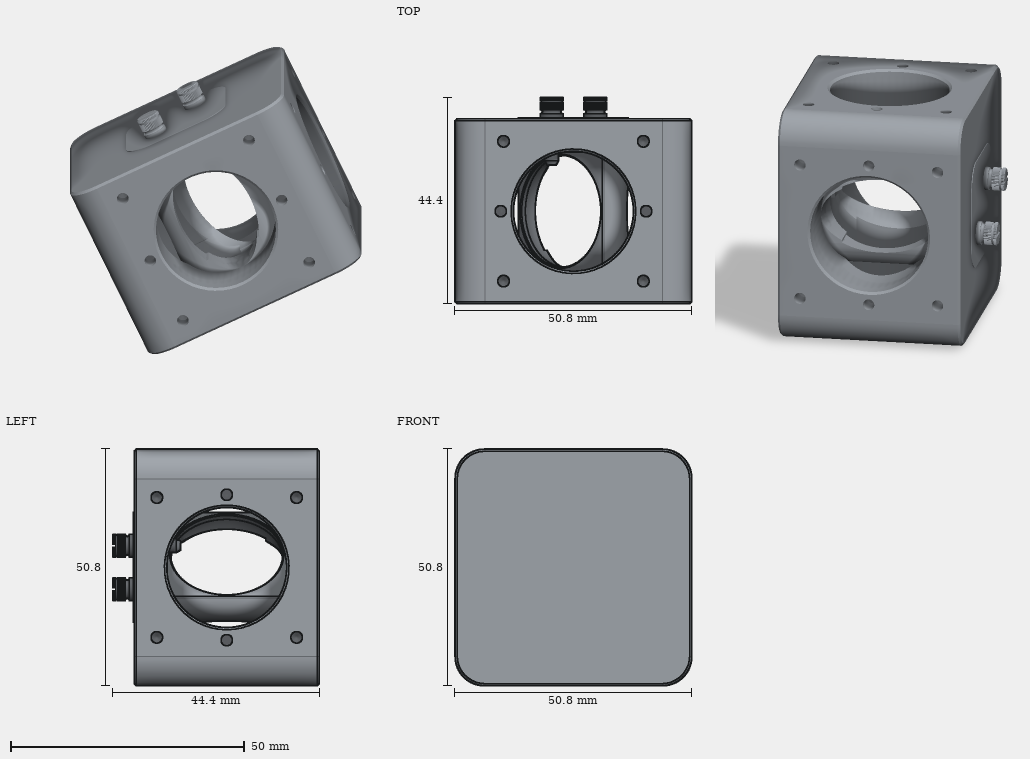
import cadquery as cq
import math

BLOCK_SIDE = 50.8
BLOCK_DEPTH = 39.75
BLOCK_CORNER_RADIUS = 6.35
EDGE_CHAMFER = 0.5
FACE_DISTANCE = BLOCK_SIDE / 2
BACK_Y = BLOCK_DEPTH / 2

BORE_DIAMETER = 25.7
BORE_CHAMFER = 0.5

CORNER_HOLE_DIAMETER = 2.5
CORNER_HOLE_OFFSET = 15.0
MIDDLE_HOLE_DIAMETER = 2.45
MIDDLE_HOLE_OFFSET = 15.6
BLIND_HOLE_DEPTH = 5.1
DRILL_POINT_ANGLE = 118

INSERT_SIDE = 23.55
INSERT_CORNER_RADIUS = 5.35
INSERT_FRONT_Y = -15.25
BASE_FRONT_Y = 12.7
INSERT_PROUD = 0.15
INSERT_BACK_Y = BACK_Y + INSERT_PROUD
SLANT_DISTANCE = 3.95
TILT = 45

APERTURE_DIAMETER = 24.0
APERTURE_CHAMFER = 0.25
LIP_DEPTH = 1.35
SEAT_DIAMETER = 24.8
RING_FRONT = SLANT_DISTANCE - LIP_DEPTH
RING_BACK = -1.25

OPENING_HALF_HEIGHT = BORE_DIAMETER / 2
OPENING_HALF_WIDTH = 8.2
NARROW_HALF_WIDTH = 7.5
NARROW_START_Y = -8.35

SCREW_OFFSET = 4.65
SCREW_TIP_Y = 9.9
SCREW_END_Y = 24.5
SHANK_DIAMETER = 3.0
TIP_DIAMETER = 2.0
TIP_TAPER_LENGTH = 0.9
NECK_DIAMETER = 4.0
HEAD_DIAMETER = 5.0
COLLAR_BACK_Y = 20.95
GRIP_FRONT_Y = 21.75
GROOVE_FRONT_Y = 23.3
GROOVE_BACK_Y = 23.75
GROOVE_DIAMETER = 4.55
HEAD_CHAMFER = 0.2
KNURL_COUNT = 48
KNURL_DEPTH = 0.15
SLOT_WIDTH = 0.6
SLOT_DEPTH = 0.65


def rounded_bar(side, corner_radius, front_y, back_y):
    """Square bar along Y with rounded long edges."""
    bar = cq.Workplane("XZ", origin=(0, back_y, 0)).rect(side, side).extrude(back_y - front_y)
    return bar.edges("|Y").fillet(corner_radius)


def turned(profile):
    """Revolve a (radius, height) profile about Z."""
    return cq.Workplane("XZ").polyline(profile).close().revolve(360, (0, 0), (0, 1))


def disc(diameter, low, high):
    return cq.Workplane("XY", origin=(0, 0, low)).circle(diameter / 2).extrude(high - low)


def tilted(body):
    """Turn a body built along +Z onto the normal of the slanted face."""
    return body.rotate((0, 0, 0), (0, 1, 0), -TILT)


def beam_bores():
    """The bore along Z and the bore along X, each with chamfered mouths."""
    radius = BORE_DIAMETER / 2
    mouth_radius = radius + BORE_CHAMFER
    chamfer_start = FACE_DISTANCE - BORE_CHAMFER
    bore = turned([
        (0, -FACE_DISTANCE), (mouth_radius, -FACE_DISTANCE), (radius, -chamfer_start),
        (radius, chamfer_start), (mouth_radius, FACE_DISTANCE), (0, FACE_DISTANCE),
    ])
    return bore, bore.rotate((0, 0, 0), (0, 1, 0), 90)


def face_holes():
    """Blind holes of the +Z face: four with conical ends and two with flat ends."""
    floor = FACE_DISTANCE - BLIND_HOLE_DEPTH
    radius = CORNER_HOLE_DIAMETER / 2
    point_length = radius / math.tan(math.radians(DRILL_POINT_ANGLE / 2))
    corner_hole = turned([(0, floor - point_length), (radius, floor), (radius, FACE_DISTANCE), (0, FACE_DISTANCE)])
    middle_hole = disc(MIDDLE_HOLE_DIAMETER, floor, FACE_DISTANCE)
    holes = []
    for x_side in (-1, 1):
        holes.append(middle_hole.translate((x_side * MIDDLE_HOLE_OFFSET, 0, 0)))
        for y_side in (-1, 1):
            place = (x_side * CORNER_HOLE_OFFSET, y_side * CORNER_HOLE_OFFSET, 0)
            holes.append(corner_hole.translate(place))
    return holes


def make_housing():
    body = rounded_bar(BLOCK_SIDE, BLOCK_CORNER_RADIUS, -BACK_Y, BACK_Y)
    body = body.faces("<Y or >Y").chamfer(EDGE_CHAMFER)
    body = body.cut(rounded_bar(INSERT_SIDE, INSERT_CORNER_RADIUS, INSERT_FRONT_Y, BACK_Y))
    for bore in beam_bores():
        body = body.cut(bore)
    for angle in (0, 90, 180, 270):
        for hole in face_holes():
            body = body.cut(hole.rotate((0, 0, 0), (0, 1, 0), angle))
    return body


def aperture():
    """Chamfered hole through the lip, opening into the ring seat behind it."""
    radius = APERTURE_DIAMETER / 2
    seat_radius = SEAT_DIAMETER / 2
    chamfer_start = SLANT_DISTANCE - APERTURE_CHAMFER
    return tilted(turned([
        (0, RING_BACK), (seat_radius, RING_BACK), (seat_radius, RING_FRONT), (radius, RING_FRONT),
        (radius, chamfer_start), (radius + APERTURE_CHAMFER, SLANT_DISTANCE), (0, SLANT_DISTANCE),
    ]))


def half_opening(half_width, above_y):
    """Elliptical bore from the middle to -Z, kept only above the given Y."""
    bore = cq.Workplane("XY").ellipse(half_width, OPENING_HALF_HEIGHT).extrude(-INSERT_SIDE)
    keep_height = OPENING_HALF_HEIGHT - above_y
    keep = cq.Workplane("XY", origin=(0, above_y + keep_height / 2, 0))
    return bore.intersect(keep.rect(INSERT_SIDE, keep_height).extrude(-INSERT_SIDE))


def beam_openings():
    """One opening to -Z and the same one turned to +X."""
    wide = half_opening(OPENING_HALF_WIDTH, NARROW_START_Y)
    down = wide.union(half_opening(NARROW_HALF_WIDTH, -OPENING_HALF_HEIGHT))
    return down, down.rotate((0, 0, 0), (0, 1, 0), -90)


def make_insert(screws):
    bar = rounded_bar(INSERT_SIDE, INSERT_CORNER_RADIUS, INSERT_FRONT_Y, INSERT_BACK_Y)
    cut_length = BASE_FRONT_Y - INSERT_FRONT_Y
    cut_middle_y = (BASE_FRONT_Y + INSERT_FRONT_Y) / 2
    slant = cq.Workplane("XY", origin=(0, cut_middle_y, SLANT_DISTANCE)).rect(2 * INSERT_SIDE, cut_length)
    in_front_of_slant = tilted(slant.extrude(INSERT_SIDE))
    body = bar.cut(in_front_of_slant).cut(aperture())
    for opening in beam_openings():
        body = body.cut(opening)
    for screw in screws:
        body = body.cut(screw)
    return body


def make_ring():
    """Ring behind the lip, trimmed at the rear by the beam openings."""
    inside = disc(APERTURE_DIAMETER, RING_BACK, RING_FRONT)
    body = tilted(disc(SEAT_DIAMETER, RING_BACK, RING_FRONT).cut(inside))
    for opening in beam_openings():
        body = body.cut(opening)
    return body


def make_screw():
    shank = SHANK_DIAMETER / 2
    neck = NECK_DIAMETER / 2
    head = HEAD_DIAMETER / 2
    groove = GROOVE_DIAMETER / 2
    rim = head - HEAD_CHAMFER
    neck_y = (COLLAR_BACK_Y + GRIP_FRONT_Y) / 2
    body = (
        cq.Workplane("XY")
        .moveTo(0, SCREW_TIP_Y).lineTo(TIP_DIAMETER / 2, SCREW_TIP_Y)
        .lineTo(shank, SCREW_TIP_Y + TIP_TAPER_LENGTH).lineTo(shank, INSERT_BACK_Y)
        .lineTo(head, INSERT_BACK_Y).lineTo(head, COLLAR_BACK_Y).lineTo(rim, COLLAR_BACK_Y)
        .threePointArc((neck, neck_y), (rim, GRIP_FRONT_Y)).lineTo(head, GRIP_FRONT_Y)
        .lineTo(head, GROOVE_FRONT_Y).lineTo(groove, GROOVE_FRONT_Y)
        .lineTo(groove, GROOVE_BACK_Y).lineTo(head, GROOVE_BACK_Y)
        .lineTo(head, SCREW_END_Y - HEAD_CHAMFER).lineTo(rim, SCREW_END_Y).lineTo(0, SCREW_END_Y)
        .close().revolve(360, (0, 0), (0, 1))
    )
    teeth = []
    for step in range(2 * KNURL_COUNT):
        radius = head - KNURL_DEPTH * (step % 2)
        angle = math.pi * step / KNURL_COUNT
        teeth.append((radius * math.cos(angle), radius * math.sin(angle)))
    around_grip = cq.Workplane("XZ", origin=(0, SCREW_END_Y, 0)).circle(HEAD_DIAMETER).polyline(teeth).close()
    slot = cq.Workplane("XY", origin=(0, SCREW_END_Y, 0)).box(2 * HEAD_DIAMETER, 2 * SLOT_DEPTH, SLOT_WIDTH)
    return body.cut(around_grip.extrude(SCREW_END_Y - GRIP_FRONT_Y)).cut(slot)


screws = [make_screw().translate((side * SCREW_OFFSET, 0, -side * SCREW_OFFSET)) for side in (-1, 1)]
housing = make_housing()
insert = make_insert(screws)
ring = make_ring()

result = cq.Compound.makeCompound([
    housing.val(), insert.val(), ring.val(), *[screw.val() for screw in screws],
])